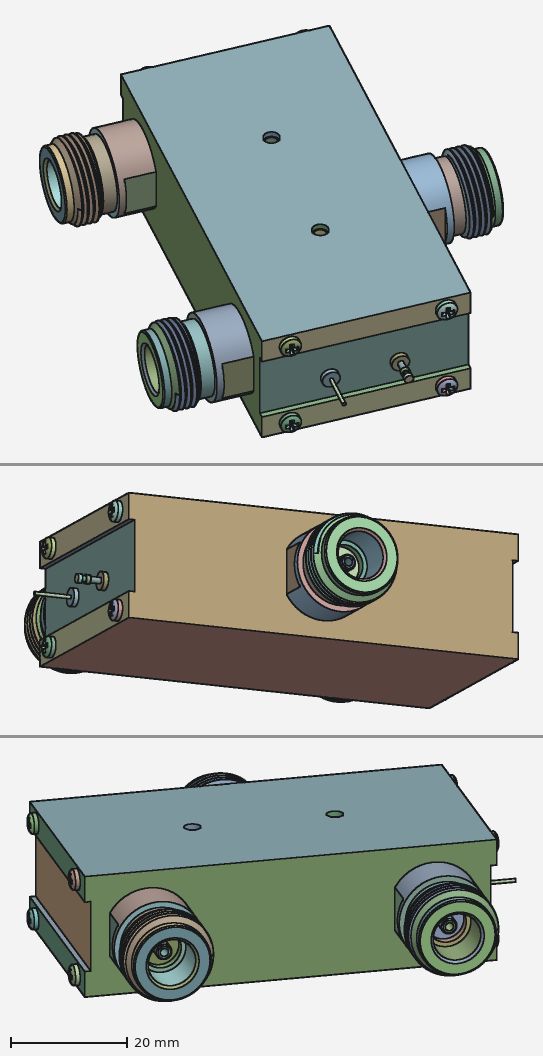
import cadquery as cq
import math

OVERALL_LENGTH = 81.3
BODY_LENGTH = 73.3
BODY_DEPTH = 38.1
BODY_HEIGHT = 22.2
COVER_WALL = 1.05
COVER_FLANGE = 4.7
BLOCK_LENGTH = BODY_LENGTH - 2 * COVER_WALL
FLANGE_FACE = BODY_LENGTH / 2
BLOCK_FACE = BLOCK_LENGTH / 2
FRONT_FACE = BODY_DEPTH / 2

PORT_CENTER_X = 0.1
CONNECTOR_SPACING = 50.7

HOLE_SPACING = CONNECTOR_SPACING / 2
CLEARANCE_RADIUS = 1.5
HOLE_RADIUS = 1.2
HOLE_DEPTH = 4.9
DRILL_POINT_ANGLE = 118

CONNECTOR_HEIGHT = 16.5
BARREL_RADIUS = 8.0
BARREL_HEIGHT = 7.1
FLAT_HEIGHT = 5.8
NECK_RADIUS = 6.9
TIP_CHAMFER = 0.25
THREAD_BOTTOM = 9.6
THREAD_LEAD_IN = 0.7
THREAD_TOP = 14.95
THREAD_TOP_CHAMFER = BARREL_RADIUS - NECK_RADIUS
THREAD_PITCH = 1.05
THREAD_TURNS = 5
THREAD_DEPTH = 0.7
GROOVE_START = 9.1
GROOVE_HALF_WIDTH = 0.5
GROOVE_OVERCUT = 0.1

SOCKET_RADIUS = 4.2
SOCKET_CHAMFER = 0.5
SOCKET_DEPTH = 7.3
INNER_BORE_RADIUS = 3.4
INNER_BORE_DEPTH = 8.95
CONTACT_RADIUS = 1.4
CONTACT_HOLE_RADIUS = 0.7
CONTACT_CHAMFER = 0.25
CONTACT_TIP_DEPTH = 5.7

SCREW_RADIUS = 1.9
SCREW_HEIGHT = 1.4
SCREW_RIM_HEIGHT = 0.8
SCREW_CROWN_RADIUS = 0.8
SCREW_Y_SPACING = 28.5
SCREW_Y_OFFSET = 0.25
SCREW_Z_SPACING = 17.6
RECESS_DEPTH = 0.8
RECESS_LENGTH = 2.4
RECESS_WIDTH = 0.7
RECESS_FLOOR_LENGTH = 1.3
RECESS_FLOOR_WIDTH = 0.3

TERMINAL_Z = -1.6
TERMINAL_Y = 6.35
TERMINAL_FLANGE_RADIUS = 1.6
TERMINAL_FLANGE_HEIGHT = 0.9
PIN_RADIUS = 0.3
PIN_END = OVERALL_LENGTH - FLANGE_FACE - SCREW_HEIGHT
POST_RADIUS = 0.6
POST_END = 40.9
POST_COLLAR_RADIUS = 0.8
POST_COLLAR_WIDTH = 0.8
POST_COLLAR_PITCH = 1.55
POST_COLLAR_COUNT = 2

OVERLAP = 0.4


def cylinder(radius, bottom, top):
    return cq.Workplane("XY").workplane(offset=bottom).circle(radius).extrude(top - bottom)


def make_body():
    body = cq.Workplane("XY").box(BLOCK_LENGTH, BODY_DEPTH, BODY_HEIGHT)
    for side in (-1, 1):
        flange_center = side * (BODY_HEIGHT - COVER_FLANGE) / 2
        flanges = cq.Workplane("XY").box(BODY_LENGTH, BODY_DEPTH, COVER_FLANGE)
        body = body.union(flanges.translate((0, 0, flange_center)))
    return body


def mounting_hole():
    """Blind drilled hole with a conical floor, widened through the top cover."""
    point_depth = HOLE_RADIUS / math.tan(math.radians(DRILL_POINT_ANGLE / 2))
    top = BODY_HEIGHT / 2
    profile = [
        (0, top),
        (CLEARANCE_RADIUS, top),
        (CLEARANCE_RADIUS, top - COVER_WALL),
        (HOLE_RADIUS, top - COVER_WALL),
        (HOLE_RADIUS, top - HOLE_DEPTH),
        (0, top - HOLE_DEPTH - point_depth),
    ]
    return cq.Workplane("XZ").polyline(profile).close().revolve(360, (0, 0), (0, 1))


def thread_groove():
    """Helical V groove running around the Z axis."""
    outer = BARREL_RADIUS + GROOVE_OVERCUT
    root = BARREL_RADIUS - THREAD_DEPTH
    path = cq.Wire.makeHelix(THREAD_PITCH, THREAD_TURNS * THREAD_PITCH, root)
    section = cq.Workplane("XZ").polyline([
        (root, 0),
        (outer, GROOVE_HALF_WIDTH),
        (outer, -GROOVE_HALF_WIDTH),
    ]).close()
    return section.sweep(cq.Workplane(path), isFrenet=True).translate((0, 0, GROOVE_START))


def make_thread():
    """Grooved sleeve trimmed to a tapered run-in at each end."""
    blank = cylinder(BARREL_RADIUS, THREAD_BOTTOM - OVERLAP, THREAD_TOP + OVERLAP)
    envelope = cq.Workplane("XZ").polyline([
        (0, THREAD_BOTTOM),
        (NECK_RADIUS, THREAD_BOTTOM),
        (BARREL_RADIUS, THREAD_BOTTOM + THREAD_LEAD_IN),
        (BARREL_RADIUS, THREAD_TOP - THREAD_TOP_CHAMFER),
        (NECK_RADIUS, THREAD_TOP),
        (0, THREAD_TOP),
    ]).close().revolve(360, (0, 0), (0, 1))
    return blank.cut(thread_groove()).intersect(envelope)


def make_connector():
    """Threaded socket standing on the XY plane, with its axis along Z."""
    profile = [
        (0, -OVERLAP),
        (BARREL_RADIUS, -OVERLAP),
        (BARREL_RADIUS, BARREL_HEIGHT),
        (NECK_RADIUS, BARREL_HEIGHT),
        (NECK_RADIUS, CONNECTOR_HEIGHT - TIP_CHAMFER),
        (NECK_RADIUS - TIP_CHAMFER, CONNECTOR_HEIGHT),
        (0, CONNECTOR_HEIGHT),
    ]
    shell = cq.Workplane("XZ").polyline(profile).close().revolve(360, (0, 0), (0, 1))
    shell = shell.union(make_thread())

    flat_cut = cq.Workplane("XY").box(
        BARREL_RADIUS, 2 * BARREL_RADIUS, FLAT_HEIGHT + OVERLAP, centered=(False, True, False)
    ).translate((NECK_RADIUS, 0, -OVERLAP))
    shell = shell.cut(flat_cut).cut(flat_cut.mirror("YZ"))

    mouth = CONNECTOR_HEIGHT
    socket_floor = mouth - SOCKET_DEPTH
    bore_floor = mouth - INNER_BORE_DEPTH
    contact_tip = mouth - CONTACT_TIP_DEPTH
    socket = cq.Workplane("XZ").polyline([
        (0, bore_floor),
        (INNER_BORE_RADIUS, bore_floor),
        (INNER_BORE_RADIUS, socket_floor),
        (SOCKET_RADIUS, socket_floor),
        (SOCKET_RADIUS, mouth - SOCKET_CHAMFER),
        (SOCKET_RADIUS + SOCKET_CHAMFER, mouth),
        (0, mouth),
    ]).close().revolve(360, (0, 0), (0, 1))
    contact = cylinder(CONTACT_RADIUS, bore_floor - OVERLAP, contact_tip)
    contact = contact.faces(">Z").chamfer(CONTACT_CHAMFER)
    contact_hole = cylinder(CONTACT_HOLE_RADIUS, bore_floor, contact_tip)
    return shell.cut(socket).union(contact).cut(contact_hole)


def make_screw():
    """Pan head with a tapered cross recess, standing on the XY plane."""
    run = SCREW_RADIUS - SCREW_CROWN_RADIUS
    drop = SCREW_HEIGHT - SCREW_RIM_HEIGHT
    arc_radius = (run**2 + drop**2) / (2 * drop)
    half_angle = math.asin(run / arc_radius) / 2
    arc_middle = (
        SCREW_CROWN_RADIUS + arc_radius * math.sin(half_angle),
        SCREW_HEIGHT - arc_radius * (1 - math.cos(half_angle)),
    )
    head = (
        cq.Workplane("XZ")
        .moveTo(0, -OVERLAP)
        .lineTo(SCREW_RADIUS, -OVERLAP)
        .lineTo(SCREW_RADIUS, SCREW_RIM_HEIGHT)
        .threePointArc(arc_middle, (SCREW_CROWN_RADIUS, SCREW_HEIGHT))
        .lineTo(0, SCREW_HEIGHT)
        .close()
        .revolve(360, (0, 0), (0, 1))
    )
    arm = (
        cq.Workplane("XY")
        .workplane(offset=SCREW_HEIGHT)
        .rect(RECESS_LENGTH, RECESS_WIDTH)
        .workplane(offset=-RECESS_DEPTH)
        .rect(RECESS_FLOOR_LENGTH, RECESS_FLOOR_WIDTH)
        .loft(ruled=True)
    )
    cross = arm.union(arm.rotate((0, 0, 0), (0, 0, 1), 90))
    return head.cut(cross)


def make_terminal(flange_radius, stem_radius, end):
    """Stem and insulator flange along Z, measured from the middle of the body."""
    flange = cylinder(flange_radius, BLOCK_FACE - OVERLAP, BLOCK_FACE + TERMINAL_FLANGE_HEIGHT)
    return flange.union(cylinder(stem_radius, BLOCK_FACE, end))


def along_x(shape, side):
    return shape.rotate((0, 0, 0), (0, 1, 0), side * 90)


def along_y(shape, side):
    return shape.rotate((0, 0, 0), (1, 0, 0), -side * 90)


result = make_body()

for side in (-1, 1):
    result = result.cut(mounting_hole().translate((PORT_CENTER_X + side * HOLE_SPACING / 2, 0, 0)))

connector = make_connector()
for x, side in ((-CONNECTOR_SPACING / 2, -1), (CONNECTOR_SPACING / 2, -1), (0, 1)):
    result = result.union(along_y(connector, side).translate((PORT_CENTER_X + x, side * FRONT_FACE, 0)))

screw = make_screw()
for side in (-1, 1):
    for y in (SCREW_Y_OFFSET - SCREW_Y_SPACING / 2, SCREW_Y_OFFSET + SCREW_Y_SPACING / 2):
        for z in (-SCREW_Z_SPACING / 2, SCREW_Z_SPACING / 2):
            result = result.union(along_x(screw, side).translate((side * FLANGE_FACE, y, z)))

pin = make_terminal(TERMINAL_FLANGE_RADIUS, PIN_RADIUS, PIN_END)
result = result.union(along_x(pin, 1).translate((0, -TERMINAL_Y, TERMINAL_Z)))

post = make_terminal(TERMINAL_FLANGE_RADIUS, POST_RADIUS, POST_END)
for index in range(POST_COLLAR_COUNT):
    collar_end = POST_END - index * POST_COLLAR_PITCH
    post = post.union(cylinder(POST_COLLAR_RADIUS, collar_end - POST_COLLAR_WIDTH, collar_end))
result = result.union(along_x(post, 1).translate((0, TERMINAL_Y, TERMINAL_Z)))